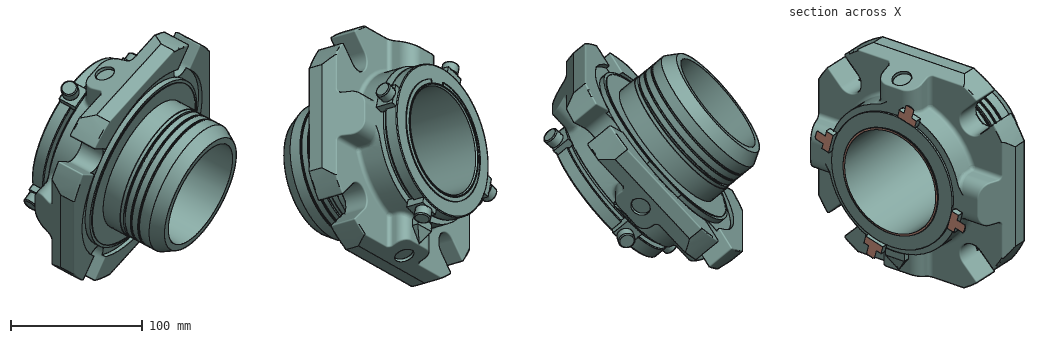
import cadquery as cq
import math


block_size = 182.1
block_corner_diameter = 201.5
plate_front_x = 38.2
plate_back_x = 61.7
draft_start_x = 49.4
draft_angle = 20.0
edge_round = 1.1

body_front_x = 17.1
body_diameter = 124.2
body_foot_round = 3.3
body_foot_reach = 65.5
boss_half_width = 18.4
boss_corner_round = 11.5
boss_foot_round = 3.5
lower_boss_front_x = 23.3
lower_boss_corner_round = 8.4

slot_width = 21.5
slot_circle_radius = 81.8

port_diameter = 15.3
upper_port_x = 27.1
lower_port_x = 37.3
port_depth = 2.7

pipe_diameter = 109.0
pipe_step_x = 79.2
pipe_rear_diameter = 108.0
pipe_taper_x = 105.8
pipe_end_x = 116.0
pipe_end_diameter = 96.2
seal_groove_x = 82.0
seal_groove_width = 1.6
seal_groove_diameter = 104.4
line_groove_x = 88.3
second_line_groove_x = 95.2
line_groove_width = 1.3
line_groove_diameter = 106.5

gasket_diameter = 138.0
gasket_rim_diameter = 142.8
gasket_rim_x = 62.8
gasket_back_x = 63.5
recess_front_x = 58.5
recess_diameter = 160.3

bore_diameter = 85.8
bore_chamfer = 1.1
sleeve_diameter = 88.1
nose_diameter = 89.8
nose_back_x = 12.7

collar_front_x = 1.3
collar_back_x = 12.0
collar_diameter = 120.5
collar_chamfer = 0.7
face_ring_x = 0.5
face_ring_diameter = 96.5
face_ring_gap_angle = 19.0

thin_flange_x = 14.2
thin_flange_width = 1.8
thin_flange_diameter = 114.0
thin_flange_hub_diameter = 108.7

lug_angle = 15.0
lug_front_x = collar_front_x + collar_chamfer
lug_width = 17.1
lug_inner_radius = 58.0
lug_outer_radius = 64.8
screw_x = 7.1
screw_diameter = 13.0
screw_top_radius = 73.0
screw_chamfer = 1.0

pad_half_width = 9.0
pad_shoulder_z = -68.5
pad_tip_z = -80.5
pad_top_z = -62.0
pad_front_x = 18.2

quarter_turns = (0, 90, 180, 270)


def disc(diameter, x_start, x_end):
    """Cylinder on the X axis."""
    return cq.Workplane("YZ", origin=(x_start, 0, 0)).circle(diameter / 2).extrude(x_end - x_start)


def turn(shape, angle):
    """Rotate about the X axis."""
    return shape.rotate((0, 0, 0), (1, 0, 0), angle)


def draft_rise(x):
    """Distance by which a leaning side has moved in from the square at this X."""
    return (draft_start_x - x) * math.tan(math.radians(draft_angle))


def drafted_envelope():
    """Square block whose four sides lean inwards towards the front."""
    straight = cq.Workplane("YZ", origin=(draft_start_x, 0, 0)).rect(block_size, block_size)
    straight = straight.extrude(plate_back_x - draft_start_x)
    leaning = cq.Workplane("YZ", origin=(draft_start_x, 0, 0)).rect(block_size, block_size)
    leaning = leaning.extrude(-draft_start_x, taper=draft_angle)
    return straight.union(leaning)


def boss(front_x, corner_round):
    """Boss running outwards along +Z from the axis, with a rounded front and flared feet."""
    foot = boss_half_width + boss_foot_round
    w = boss_half_width
    diagonal = math.sqrt(0.5)
    corner_in = corner_round * (1 - diagonal)
    foot_in = boss_foot_round * (1 - diagonal)
    front_y = w - corner_round
    outline = (
        cq.Workplane("XY")
        .moveTo(plate_front_x, -foot)
        .threePointArc((plate_front_x - foot_in, -w - foot_in), (plate_front_x - boss_foot_round, -w))
        .lineTo(front_x + corner_round, -w)
        .threePointArc((front_x + corner_in, -w + corner_in), (front_x, -front_y))
        .lineTo(front_x, front_y)
        .threePointArc((front_x + corner_in, w - corner_in), (front_x + corner_round, w))
        .lineTo(plate_front_x - boss_foot_round, w)
        .threePointArc((plate_front_x - foot_in, w + foot_in), (plate_front_x, foot))
        .lineTo(draft_start_x, foot)
        .lineTo(draft_start_x, -foot)
        .close()
    )
    return outline.extrude(block_size / 2)


def slots():
    """Four open bolt slots on the diagonals, cut through the whole flange."""
    slot = cq.Workplane("XY").box(plate_back_x, slot_width, block_size, centered=(False, True, False))
    slot = slot.union(disc(slot_width, 0, plate_back_x)).translate((0, 0, slot_circle_radius))
    cutters = turn(slot, 45)
    for angle in quarter_turns[1:]:
        cutters = cutters.union(turn(slot, 45 + angle))
    return cutters


def on_front_outline(edge):
    """True for the front edges of the drafted sides, the corners and the bolt slots."""
    center = edge.Center()
    y, z = abs(center.y), abs(center.z)
    on_draft = abs(max(y, z) - (block_size / 2 - draft_rise(center.x))) < edge_round
    on_plate_face = abs(center.x - plate_front_x) < 0.02
    beside_boss = min(y, z) < boss_half_width + 2 * boss_foot_round
    outside_body = math.hypot(y, z) > body_foot_reach + 1.8
    return (on_draft and center.x < plate_front_x + 0.02) or (
        on_plate_face and outside_body and not beside_boss
    )


def is_slot_tip(edge):
    """True for the sharp edges where a bolt slot meets the round corner."""
    center = edge.Center()
    runs_along_x = edge.BoundingBox().xlen > plate_back_x - plate_front_x - 0.2
    return runs_along_x and math.hypot(center.y, center.z) > block_corner_diameter / 2 - 0.2


def round_edges(shape, chosen):
    """Round the edges for which the given test is true."""
    edges = [edge for edge in shape.edges().vals() if chosen(edge)]
    return shape.newObject(edges).fillet(edge_round)


def flange_block():
    """Plate, four bosses and round body, with filleted feet and rounded outer edges."""
    block = cq.Workplane("YZ", origin=(plate_front_x, 0, 0)).rect(block_size, block_size)
    block = block.extrude(plate_back_x - plate_front_x)
    for angle in (0, 90, 270):
        block = block.union(turn(boss(body_front_x, boss_corner_round), angle))
    block = block.union(turn(boss(lower_boss_front_x, lower_boss_corner_round), 180))
    block = block.intersect(drafted_envelope())
    block = block.intersect(disc(block_corner_diameter, 0, plate_back_x))

    body_start_x = body_front_x - 2 * body_foot_round
    block = block.union(disc(body_diameter, body_start_x, plate_back_x))
    foot = cq.selectors.BoxSelector(
        (body_front_x - 0.2, -body_foot_reach, -body_foot_reach),
        (plate_front_x + 0.2, body_foot_reach, body_foot_reach),
    )
    block = block.edges(foot).fillet(body_foot_round)
    block = block.cut(disc(block_size, 0, body_front_x))

    block = block.cut(slots())
    block = round_edges(block, is_slot_tip)
    block = round_edges(block, on_front_outline)
    block = block.faces(">X").edges().fillet(edge_round)
    return block.cut(disc(recess_diameter, recess_front_x, plate_back_x))


def port(x):
    """Cutter for a shallow round port square to the leaning upper side."""
    lean = math.radians(draft_angle)
    outward = cq.Vector(-math.sin(lean), 0, math.cos(lean))
    mouth = cq.Vector(x, 0, block_size / 2 - draft_rise(x))
    floor = mouth - outward * port_depth
    return cq.Workplane(cq.Solid.makeCylinder(port_diameter / 2, 2 * port_depth, floor, outward))


def label_pad():
    """Arrow-shaped pad whose front leans back towards the tip."""
    side = (
        cq.Workplane("XZ", origin=(0, pad_half_width, 0))
        .moveTo(pad_front_x, pad_top_z)
        .lineTo(pad_front_x, pad_shoulder_z)
        .lineTo(lower_boss_front_x, pad_tip_z)
        .lineTo(plate_front_x, pad_tip_z)
        .lineTo(plate_front_x, pad_top_z)
        .close()
        .extrude(2 * pad_half_width)
    )
    arrow = cq.Workplane("YZ").polyline(
        [
            (-pad_half_width, pad_top_z),
            (-pad_half_width, pad_shoulder_z),
            (0, pad_tip_z),
            (pad_half_width, pad_shoulder_z),
            (pad_half_width, pad_top_z),
        ]
    )
    return side.intersect(arrow.close().extrude(plate_front_x))


def gasket():
    """Gasket in the recess; its wider rim is flat along the lower side."""
    seat = disc(gasket_diameter, recess_front_x, gasket_back_x)
    rim = disc(gasket_rim_diameter, recess_front_x, gasket_rim_x)
    flat = cq.Workplane("XY").box(block_size, block_size, block_size)
    flat = flat.translate((0, 0, -(block_size + gasket_diameter) / 2))
    return seat.union(rim.cut(flat))


def pipe():
    """Rear tube with its step, grooves and tapered end."""
    outer = disc(pipe_diameter, plate_front_x, pipe_step_x)
    outer = outer.union(disc(pipe_rear_diameter, pipe_step_x, pipe_taper_x))
    taper = cq.Workplane("YZ", origin=(pipe_taper_x, 0, 0)).circle(pipe_rear_diameter / 2)
    taper = taper.workplane(offset=pipe_end_x - pipe_taper_x).circle(pipe_end_diameter / 2).loft()
    outer = outer.union(taper)
    grooves = (
        (seal_groove_x, seal_groove_width, seal_groove_diameter),
        (line_groove_x, line_groove_width, line_groove_diameter),
        (second_line_groove_x, line_groove_width, line_groove_diameter),
    )
    for start, width, diameter in grooves:
        ring = disc(pipe_diameter, start, start + width).cut(disc(diameter, start, start + width))
        outer = outer.cut(ring)
    return outer


def front_rings():
    """Sleeve, clamp collar, split face ring and the thin flange in front of the body."""
    rings = disc(nose_diameter, 0, nose_back_x)
    rings = rings.union(disc(sleeve_diameter, 0, plate_back_x))
    collar = disc(collar_diameter, collar_front_x, collar_back_x)
    rings = rings.union(collar.edges().chamfer(collar_chamfer))

    face_ring = disc(face_ring_diameter, face_ring_x, collar_front_x)
    gap = (
        cq.Workplane("YZ")
        .lineTo(0, block_size)
        .lineTo(block_size * math.tan(math.radians(face_ring_gap_angle)), block_size)
        .close()
        .extrude(collar_front_x)
    )
    rings = rings.union(face_ring.cut(gap))

    rings = rings.union(disc(thin_flange_diameter, thin_flange_x, thin_flange_x + thin_flange_width))
    return rings.union(disc(thin_flange_hub_diameter, thin_flange_x, body_front_x))


def lug_and_screw():
    """One collar lug, reaching back to the body, with its radial screw."""
    lug = cq.Workplane("XY", origin=(lug_front_x, 0, lug_inner_radius)).box(
        body_front_x - lug_front_x,
        lug_width,
        lug_outer_radius - lug_inner_radius,
        centered=(False, True, False),
    )
    screw = cq.Workplane("XY", origin=(screw_x, 0, lug_outer_radius)).circle(screw_diameter / 2)
    screw = screw.extrude(screw_top_radius - lug_outer_radius).faces(">Z").chamfer(screw_chamfer)
    return lug.union(screw)


def bore():
    """Cutter for the through bore with its chamfered front edge."""
    mouth = cq.Workplane("YZ").circle(bore_diameter / 2 + bore_chamfer)
    mouth = mouth.workplane(offset=bore_chamfer).circle(bore_diameter / 2).loft()
    return disc(bore_diameter, 0, pipe_end_x).union(mouth)


result = flange_block().union(label_pad())
result = result.cut(port(upper_port_x)).cut(turn(port(lower_port_x), 180))
result = result.union(gasket()).union(pipe()).union(front_rings())
for angle in quarter_turns:
    result = result.union(turn(lug_and_screw(), angle + lug_angle))
result = result.cut(bore())